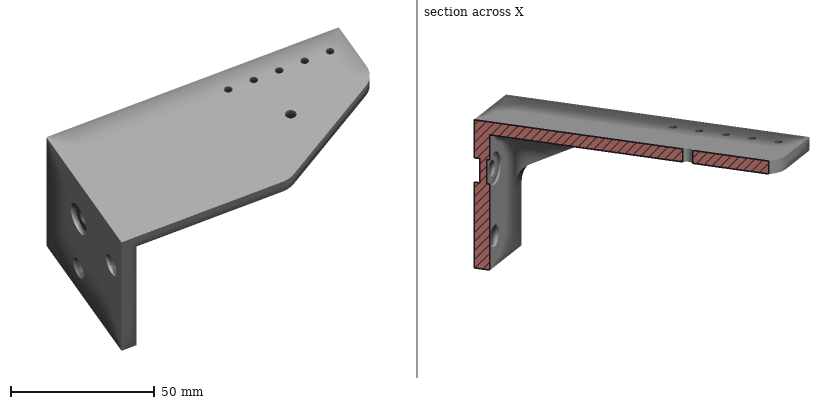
import cadquery as cq

width = 57.0
length = 115
height = 55.0
plate_thickness = 5.0
wall_thickness = 6.0
gusset_thickness = 6.0
corner_radius = 10.0

selection_margin = 1.2

rear_edge_width = 26.6
corner_cut_length = 48.9

gusset_reach = 45.7
gusset_drop = 25.2

row_x = 8.9
row_rear_margin = 8.0
row_pitch = 10.0
row_count = 5
row_diameter = 3.0
plate_hole_x = 29.4
plate_hole_rear_margin = 34.2
plate_hole_diameter = 4.0

bore_x = 24.5
bore_drop = 18.6
bore_diameter = 6.0
counterbore_diameter = 12.0
front_counterbore_depth = 2.0
rear_counterbore_depth = 1.0
wall_hole_spacing = 25.0
wall_hole_diameter = 8.0


def make_plate():
    outline = [
        (0, 0),
        (width, 0),
        (width, length - corner_cut_length),
        (rear_edge_width, length),
        (0, length),
    ]
    plate = cq.Workplane("XY").polyline(outline).close().extrude(-plate_thickness)
    cut_corners = cq.selectors.BoxSelector(
        (rear_edge_width - selection_margin, length - corner_cut_length - selection_margin, -plate_thickness),
        (width + selection_margin, length + selection_margin, 0),
    )
    return plate.edges("|Z").edges(cut_corners).fillet(corner_radius)


def make_wall():
    return cq.Workplane("XY").box(width, wall_thickness, height, centered=False).translate((0, 0, -height))


def make_gusset():
    """Side profile of the whole bracket, with both inner corners rounded."""
    outline = [
        (0, 0),
        (length, 0),
        (length, -plate_thickness),
        (gusset_reach, -plate_thickness),
        (wall_thickness, -gusset_drop),
        (wall_thickness, -height),
        (0, -height),
    ]
    profile = cq.Workplane("YZ").polyline(outline).close().extrude(gusset_thickness)
    inner_corners = cq.selectors.BoxSelector(
        (0, wall_thickness - selection_margin, -gusset_drop - selection_margin),
        (gusset_thickness, gusset_reach + selection_margin, -plate_thickness + selection_margin),
    )
    return profile.edges("|X").edges(inner_corners).fillet(corner_radius)


def plate_hole(x, rear_margin, diameter):
    center = (x, length - rear_margin)
    return cq.Workplane("XY").center(*center).circle(diameter / 2).extrude(-plate_thickness)


def wall_hole(x, drop, diameter, depth=wall_thickness):
    return cq.Workplane("XZ").center(x, -drop).circle(diameter / 2).extrude(-depth)


result = make_plate().union(make_wall()).union(make_gusset())

for index in range(row_count):
    result = result.cut(plate_hole(row_x, row_rear_margin + index * row_pitch, row_diameter))
result = result.cut(plate_hole(plate_hole_x, plate_hole_rear_margin, plate_hole_diameter))

result = result.cut(wall_hole(bore_x, bore_drop, bore_diameter))
front_counterbore = wall_hole(bore_x, bore_drop, counterbore_diameter, front_counterbore_depth)
rear_counterbore = wall_hole(bore_x, bore_drop, counterbore_diameter, rear_counterbore_depth)
rear_counterbore = rear_counterbore.translate((0, wall_thickness - rear_counterbore_depth, 0))
result = result.cut(front_counterbore).cut(rear_counterbore)
result = result.cut(wall_hole(bore_x + wall_hole_spacing, bore_drop, wall_hole_diameter))
result = result.cut(wall_hole(bore_x, bore_drop + wall_hole_spacing, wall_hole_diameter))